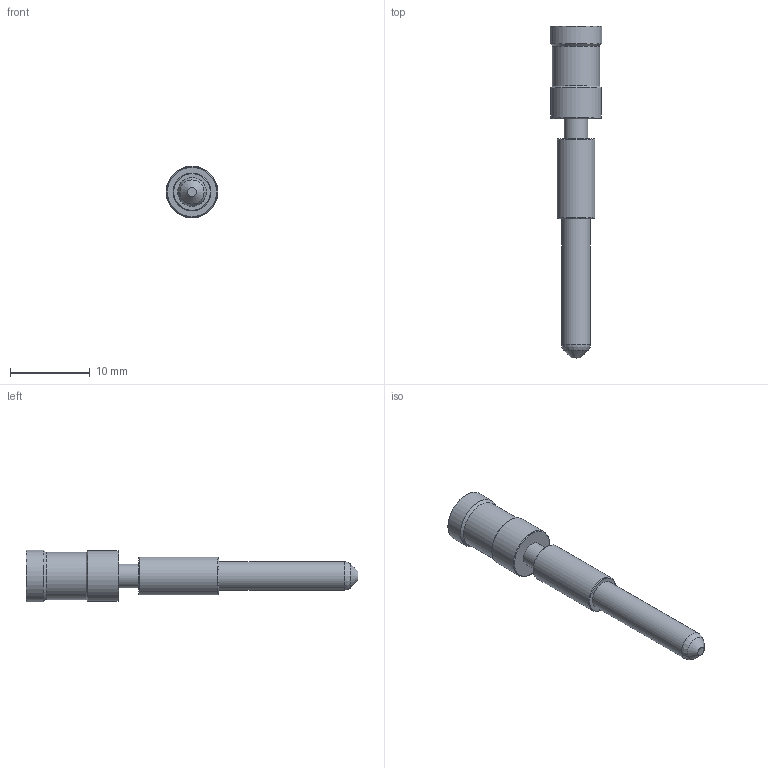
import cadquery as cq
import math

overall_length = 41.5

head_radius = 3.25
collar_radius = 3.175
barrel_radius = 2.95
neck_radius = 1.5
shoulder_radius = 2.375
pin_radius = 1.8
tip_flat_radius = 0.55

head_end = 2.2
collar_start = 7.7
collar_end = 11.6
shoulder_start = 14.1
shoulder_end = 24.1

step_chamfer = head_radius - barrel_radius
collar_chamfer = 0.2
edge_chamfer = 0.1
tip_fillet = 1.0
tip_angle = math.radians(45)

arc_end_radius = pin_radius - tip_fillet * (1 - math.cos(tip_angle))
arc_mid_radius = pin_radius - tip_fillet * (1 - math.cos(tip_angle / 2))
cone_length = (arc_end_radius - tip_flat_radius) / math.tan(tip_angle)
arc_end = overall_length - cone_length
arc_start = arc_end - tip_fillet * math.sin(tip_angle)
arc_mid = arc_start + tip_fillet * math.sin(tip_angle / 2)


def at(radius, distance):
    """Point of the half outline in the XY plane."""
    return (radius, -distance)


def make_contact():
    """Turned contact: head, barrel, collar, neck, shoulder and nosed pin around the Y axis."""
    outline = (
        cq.Workplane("XY")
        .moveTo(0, 0)
        .lineTo(*at(head_radius, 0))
        .lineTo(*at(head_radius, head_end))
        .lineTo(*at(barrel_radius, head_end + step_chamfer))
        .lineTo(*at(barrel_radius, collar_start - collar_chamfer))
        .lineTo(*at(collar_radius, collar_start))
        .lineTo(*at(collar_radius, collar_end - edge_chamfer))
        .lineTo(*at(collar_radius - edge_chamfer, collar_end))
        .lineTo(*at(neck_radius, collar_end))
        .lineTo(*at(neck_radius, shoulder_start))
        .lineTo(*at(shoulder_radius - edge_chamfer, shoulder_start))
        .lineTo(*at(shoulder_radius, shoulder_start + edge_chamfer))
        .lineTo(*at(shoulder_radius, shoulder_end - edge_chamfer))
        .lineTo(*at(shoulder_radius - edge_chamfer, shoulder_end))
        .lineTo(*at(pin_radius, shoulder_end))
        .lineTo(*at(pin_radius, arc_start))
        .threePointArc(at(arc_mid_radius, arc_mid), at(arc_end_radius, arc_end))
        .lineTo(*at(tip_flat_radius, overall_length))
        .lineTo(*at(0, overall_length))
    )
    return outline.close().revolve(360, (0, 0, 0), (0, 1, 0))


contact = make_contact()

result = cq.Compound.makeCompound([contact.val()])